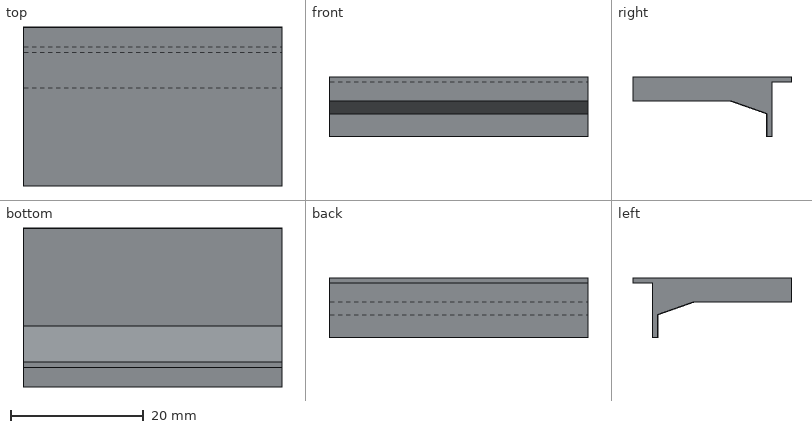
import cadquery as cq

length = 39.0
depth = 24.0
height = 9.0

plate_thickness = 3.65
lip_length = 2.95
lip_thickness = 0.8
leg_thickness = 0.8
gusset_length = 5.42
gusset_drop = 1.9

front = -depth / 2
back = depth / 2
top = height / 2
bottom = -height / 2

plate_bottom = top - plate_thickness
leg_back = back - lip_length
leg_front = leg_back - leg_thickness

profile = [
    (front, top),
    (back, top),
    (back, top - lip_thickness),
    (leg_back, top - lip_thickness),
    (leg_back, bottom),
    (leg_front, bottom),
    (leg_front, plate_bottom - gusset_drop),
    (leg_front - gusset_length, plate_bottom),
    (front, plate_bottom),
]

result = cq.Workplane("YZ").polyline(profile).close().extrude(length / 2, both=True)